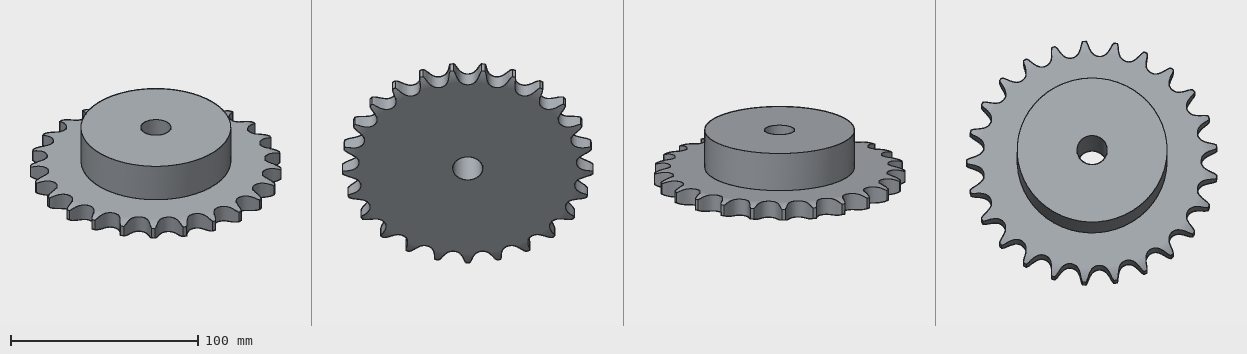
import cadquery as cq
import math

tooth_count = 25
overall_width = 133.8
tip_half_width = 1.0
pitch_radius = 126.6 / 2
roller_diameter = 10.2
total_height = 30.0
plate_thickness = 9.1
hub_diameter = 80.0
bore_diameter = 16.0

relief_radius = 15.9
relief_depth = 1.6

tooth_step = 2 * math.pi / tooth_count
outer_radius = overall_width / 2 / math.cos(tooth_step / 4 - math.atan(2 * tip_half_width / overall_width))

seat_half_angle = math.radians(90 - (35 + 60 / tooth_count))
flank_sweep = math.radians(18 - 56 / tooth_count)
topping_angle = math.radians(17 - 64 / tooth_count)
seat_radius = 0.505 * roller_diameter
flank_radius = 1.3025 * roller_diameter
straight_length = roller_diameter * (1.4 * math.sin(topping_angle) - 0.8 * math.sin(flank_sweep))
topping_radius = roller_diameter * (0.8 * math.cos(flank_sweep) + 1.4 * math.cos(topping_angle) - 1.3025)


def offset(point, distance, angle):
    """Move a point by a distance; the angle is measured from -Y toward +X."""
    return (point[0] + distance * math.sin(angle), point[1] - distance * math.cos(angle))


def turned(point, angle):
    """Rotate a point clockwise about the origin."""
    x, y = point
    return (x * math.cos(angle) + y * math.sin(angle), y * math.cos(angle) - x * math.sin(angle))


def gap_side():
    """Points on the +X side of the tooth gap centred on +Y, from the seat out to the tooth tip."""
    seat_center = (0, pitch_radius)
    seat_end = offset(seat_center, seat_radius, seat_half_angle)

    flank_angle = seat_half_angle + flank_sweep
    flank_center = offset(seat_end, -flank_radius, seat_half_angle)
    flank_middle = offset(flank_center, flank_radius, seat_half_angle + flank_sweep / 2)
    flank_end = offset(flank_center, flank_radius, flank_angle)

    straight_end = offset(flank_end, straight_length, flank_angle + math.pi / 2)

    topping_center = offset(straight_end, topping_radius, flank_angle)
    center_reach = math.hypot(*topping_center)
    tip_offset = math.acos(
        (center_reach**2 + outer_radius**2 - topping_radius**2) / (2 * center_reach * outer_radius)
    )
    tip = turned((0, outer_radius), math.atan2(*topping_center) - tip_offset)
    tip_angle = math.atan2(tip[0] - topping_center[0], topping_center[1] - tip[1])
    topping_middle = offset(topping_center, topping_radius, (flank_angle - math.pi + tip_angle) / 2)
    return seat_end, flank_middle, flank_end, straight_end, topping_middle, tip


def toothed_disc():
    """Plate with one tooth gap centred on +Y and the rest evenly spaced around the Z axis."""
    right = gap_side()
    left = [(-x, y) for x, y in right]
    seat_bottom = (0, pitch_radius - seat_radius)
    land_middle = turned((0, outer_radius), tooth_step / 2)

    outline = cq.Workplane("XY").moveTo(*left[-1])
    for gap in range(tooth_count):
        angle = gap * tooth_step
        next_tip = turned(left[-1], (gap + 1) % tooth_count * tooth_step)
        l_seat, l_flank, l_flank_end, l_straight, l_topping, _ = [turned(p, angle) for p in left]
        r_seat, r_flank, r_flank_end, r_straight, r_topping, r_tip = [turned(p, angle) for p in right]
        outline = (
            outline.threePointArc(l_topping, l_straight)
            .lineTo(*l_flank_end)
            .threePointArc(l_flank, l_seat)
            .threePointArc(turned(seat_bottom, angle), r_seat)
            .threePointArc(r_flank, r_flank_end)
            .lineTo(*r_straight)
            .threePointArc(r_topping, r_tip)
            .threePointArc(turned(land_middle, angle), next_tip)
        )
    return outline.close().extrude(plate_thickness)


def relief_blank():
    """Disc whose rim is rounded on both faces by arcs tangent to the faces."""
    relief_width = math.sqrt(relief_radius**2 - (relief_radius - relief_depth) ** 2)
    relief_start = outer_radius - relief_width
    half_sweep = math.asin(relief_width / relief_radius) / 2
    middle_radius = relief_start + relief_radius * math.sin(half_sweep)
    middle_drop = relief_radius * (1 - math.cos(half_sweep))
    profile = (
        cq.Workplane("XZ")
        .lineTo(relief_start, 0)
        .threePointArc((middle_radius, middle_drop), (outer_radius, relief_depth))
        .lineTo(outer_radius, plate_thickness - relief_depth)
        .threePointArc((middle_radius, plate_thickness - middle_drop), (relief_start, plate_thickness))
        .lineTo(0, plate_thickness)
        .close()
    )
    return profile.revolve(360, (0, 0, 0), (0, 1, 0))


plate = toothed_disc().intersect(relief_blank())
hub = cq.Workplane("XY").circle(hub_diameter / 2).extrude(total_height)
bore = cq.Workplane("XY").circle(bore_diameter / 2).extrude(total_height)

result = plate.union(hub).cut(bore)